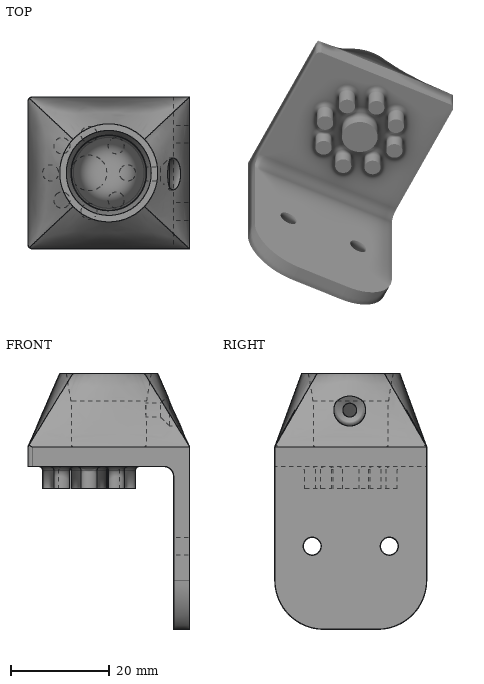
import cadquery as cq
import math

length = 33.0
width = 31.0
height = 52.2
hood_height = 15.0
plate_thickness = 4.0
wall_thickness = 3.3
plate_top = height - hood_height
plate_bottom = plate_top - plate_thickness
wall_inner_x = length / 2 - wall_thickness

plate_corner_radius = 1.0
inner_bend_radius = 2.0
wall_corner_radius = 10.0

rim_diameter = 20.0
mouth_diameter = 17.35
taper_end_diameter = 15.45
socket_diameter = 15.3
taper_depth = 5.65
socket_floor_radius = 0.4

side_hole_diameter = 2.8
side_recess_diameter = 6.45
side_hole_z = plate_top + hood_height / 2
side_hole_y = -0.2
side_recess_x = 12.35
side_sink_depth = (side_recess_diameter - side_hole_diameter) / 2

mount_hole_diameter = 3.6
mount_hole_spacing = 15.7
mount_hole_z = 16.95

ring_pin_diameter = 3.3
central_pin_diameter = 7.25
pin_length = 4.5
pin_root_radius = 0.8
pin_group_x = -4.0
pin_ring_radius = 7.85
ring_pin_count = 8


def make_bracket():
    """Flat plate and hanging wall joined by a rounded inside bend."""
    plate = cq.Workplane("XY").box(length, width, plate_thickness, centered=(True, True, False))
    plate = plate.translate((0, 0, plate_bottom))
    wall = (
        cq.Workplane("XY")
        .box(wall_thickness, width, plate_top, centered=(False, True, False))
        .translate((wall_inner_x, 0, 0))
        .edges("|X and <Z")
        .fillet(wall_corner_radius)
    )
    bend = cq.selectors.NearestToPointSelector((wall_inner_x, 0, plate_bottom))
    return plate.union(wall).edges(bend).fillet(inner_bend_radius)


def make_hood_side(start, end):
    """Ruled face from one straight plate edge up to the matching arc of the round rim."""
    def rim_point(angle):
        radius = rim_diameter / 2
        return cq.Vector(radius * math.cos(angle), radius * math.sin(angle), height)

    start_angle = math.atan2(start[1], start[0])
    end_angle = math.atan2(end[1], end[0])
    if end_angle < start_angle:
        end_angle += 2 * math.pi
    middle_angle = (start_angle + end_angle) / 2
    base = cq.Edge.makeLine(cq.Vector(*start, plate_top), cq.Vector(*end, plate_top))
    rim = cq.Edge.makeThreePointArc(
        rim_point(start_angle), rim_point(middle_angle), rim_point(end_angle)
    )
    return base, rim, cq.Face.makeRuledSurface(base, rim)


def make_hood():
    """Square-to-round hood standing on the plate."""
    x = length / 2
    y = width / 2
    corners = [(x, y), (-x, y), (-x, -y), (x, -y)]
    sides = [make_hood_side(corners[i - 1], corners[i]) for i in range(len(corners))]
    base_edges, rim_edges, faces = zip(*sides)
    floor = cq.Face.makeFromWires(cq.Wire.assembleEdges(base_edges))
    lid = cq.Face.makeFromWires(cq.Wire.assembleEdges(rim_edges))
    shell = cq.Shell.makeShell([*faces, floor, lid])
    return cq.Workplane(cq.Solid.makeSolid(shell))


def make_corner_envelope():
    """Block that rounds the two upright corners at the free end of the plate."""
    return (
        cq.Workplane("XY")
        .box(length, width, height, centered=(True, True, False))
        .edges("|Z and <X")
        .fillet(plate_corner_radius)
    )


def make_socket():
    """Blind round bore with a tapered mouth, a narrow ledge below it and a rounded floor edge."""
    bore = (
        cq.Workplane("XY", origin=(0, 0, plate_top))
        .circle(socket_diameter / 2)
        .extrude(hood_height)
        .faces("<Z")
        .edges()
        .fillet(socket_floor_radius)
    )
    mouth = cq.Solid.makeCone(
        taper_end_diameter / 2,
        mouth_diameter / 2,
        taper_depth,
        cq.Vector(0, 0, height - taper_depth),
    )
    return bore.union(cq.Workplane(mouth))


def make_side_hole():
    """Hole along X from the socket, opening through a countersink into a round recess in the slope."""
    recess_radius = side_recess_diameter / 2
    hole_radius = side_hole_diameter / 2
    sink_x = side_recess_x - side_sink_depth
    return (
        cq.Workplane("XY", origin=(0, side_hole_y, side_hole_z))
        .lineTo(0, hole_radius)
        .lineTo(sink_x, hole_radius)
        .lineTo(side_recess_x, recess_radius)
        .lineTo(length / 2, recess_radius)
        .lineTo(length / 2, 0)
        .close()
        .revolve(360, (0, 0), (1, 0))
    )


def make_mount_holes():
    """Pair of plain holes through the wall."""
    return (
        cq.Workplane("YZ", origin=(wall_inner_x, 0, mount_hole_z))
        .rarray(mount_hole_spacing, 0.5, 2, 1)
        .circle(mount_hole_diameter / 2)
        .extrude(wall_thickness)
    )


def make_pin(diameter):
    """Round pin hanging from the plate, with a flared root."""
    radius = diameter / 2
    bend_offset = pin_root_radius * (1 - math.sqrt(0.5))
    return (
        cq.Workplane("XZ")
        .lineTo(radius + pin_root_radius, 0)
        .threePointArc((radius + bend_offset, -bend_offset), (radius, -pin_root_radius))
        .lineTo(radius, -pin_length)
        .lineTo(0, -pin_length)
        .close()
        .revolve(360, (0, 0), (0, 1))
    )


def add_pins(body):
    """Fuse the central pin and the ring of pins to the underside of the plate."""
    central_pin = make_pin(central_pin_diameter)
    ring_pin = make_pin(ring_pin_diameter)
    body = body.union(central_pin.translate((pin_group_x, 0, plate_bottom)))
    for i in range(ring_pin_count):
        angle = 2 * math.pi * i / ring_pin_count
        x = pin_group_x + pin_ring_radius * math.cos(angle)
        y = pin_ring_radius * math.sin(angle)
        body = body.union(ring_pin.translate((x, y, plate_bottom)))
    return body


body = make_bracket().union(make_hood()).intersect(make_corner_envelope())
body = body.cut(make_socket()).cut(make_side_hole()).cut(make_mount_holes())
result = add_pins(body)